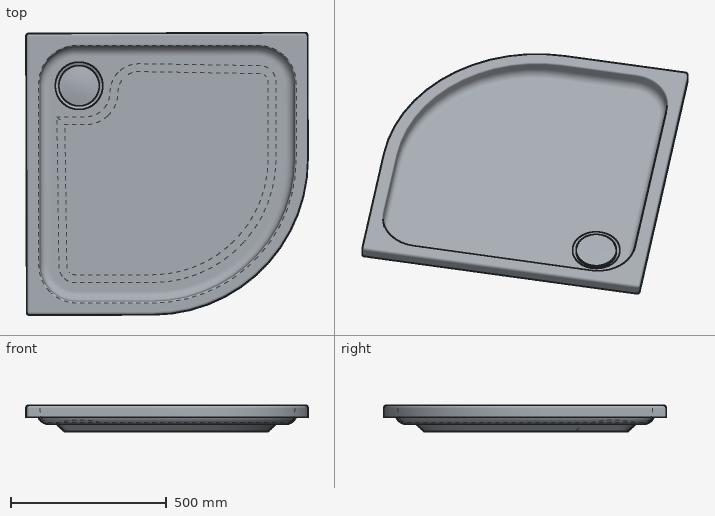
import cadquery as cq
import math


tray_height = 85.0
rim_thickness = 39.0
floor_underside = 24.0
floor_thickness = 6.0
rim_underside = tray_height - rim_thickness
floor_top = floor_underside + floor_thickness

overall_length = 907.0
rim_turn = 0.15
turn_angle = math.radians(rim_turn)
rim_side = overall_length / (math.cos(turn_angle) + math.sin(turn_angle))
rim_edge_radius = 10.0
quadrant_radius = 500.0

lip_half_width = 416.0
lip_corner_radius = 126.0
lip_radius = 6.0
wall_draft = 5.0
cove_radius = 29.0
shell_radius = 37.0
corner_centre = lip_half_width - lip_corner_radius
arc_centre = quadrant_radius - rim_side / 2
wall_half_width = lip_half_width - lip_radius
basin_depth = tray_height - floor_top
wall_run = basin_depth * math.tan(math.radians(wall_draft))

foot_half_width = 323.0
foot_corner_radius = 27.0
foot_flare = 25.0
foot_wall_lean = 6.0
notch_radius = 104.0
notch_centre = 263.0

drain_offset = 283.0
seat_diameter = 152.0
cap_diameter = 130.0
seat_depth = 5.0
cap_edge_height = 1.0
cap_apex_height = 9.0


def arc_middle(centre, radius, degrees):
    """Point on a circle at the given angle, used as an arc's middle point."""
    angle = math.radians(degrees)
    return (centre[0] + radius * math.cos(angle), centre[1] + radius * math.sin(angle))


def quadrant_outline(half_width, corner_radius, height):
    """Square of three equal rounded corners and one quadrant arc, drawn at a height."""
    half = half_width
    inner = half - corner_radius
    quadrant_centre = (-arc_centre, arc_centre)
    return (
        cq.Workplane("XY", origin=(0, 0, height))
        .moveTo(-arc_centre, -half)
        .threePointArc(arc_middle(quadrant_centre, half + arc_centre, -45), (half, arc_centre))
        .lineTo(half, inner)
        .threePointArc(arc_middle((inner, inner), corner_radius, 45), (inner, half))
        .lineTo(-inner, half)
        .threePointArc(arc_middle((-inner, inner), corner_radius, 135), (-half, inner))
        .lineTo(-half, -inner)
        .threePointArc(arc_middle((-inner, -inner), corner_radius, 225), (-inner, -half))
        .close()
    )


def basin_outline(half_width, height):
    """Outline of the basin or its shell; its corners keep the same centres at every width."""
    return quadrant_outline(half_width, half_width - corner_centre, height)


def make_rim():
    slab = quadrant_outline(rim_side / 2, rim_edge_radius, rim_underside).extrude(rim_thickness)
    slab = slab.faces(">Z").edges().fillet(rim_edge_radius)
    return slab.rotate((0, 0, 0), (0, 0, 1), rim_turn)


def make_shell():
    """Block below the rim whose rounded bottom edge follows the basin cove."""
    block = basin_outline(wall_half_width + floor_thickness, floor_underside).extrude(
        tray_height - rim_edge_radius - floor_underside
    )
    return block.faces("<Z").edges().fillet(shell_radius)


def make_basin():
    """Hollow of the basin, with drafted walls and a coved floor edge."""
    hollow = basin_outline(wall_half_width - wall_run, floor_top).extrude(basin_depth, taper=-wall_draft)
    return hollow.faces("<Z").edges().fillet(cove_radius)


def round_lip(tray):
    """Round the inner edge of the rim's top face."""
    top_face = tray.faces(">Z").val()
    lip_edges = [edge for wire in top_face.innerWires() for edge in wire.Edges()]
    return tray.newObject(lip_edges).fillet(lip_radius)


def foot_outline(growth, height):
    """Outline of the foot, grown outwards and drawn at a height; arc centres stay in place."""
    half = foot_half_width + growth
    far = half + foot_wall_lean
    radius = foot_corner_radius + growth
    inner = half - radius
    notch = notch_radius - growth
    notch_edge = notch_centre - notch
    shoulder_radius = far - notch_centre
    shoulder_x = shoulder_radius - notch_edge
    quadrant_centre = (-arc_centre, arc_centre)
    notch_corner = (-notch_centre, notch_centre)
    shoulder_centre = (shoulder_x, notch_centre)
    return (
        cq.Workplane("XY", origin=(0, 0, height))
        .moveTo(-arc_centre, -half)
        .threePointArc(arc_middle(quadrant_centre, half + arc_centre, -45), (half, arc_centre))
        .lineTo(half, inner)
        .threePointArc(arc_middle((inner, inner), radius, 45), (inner, half))
        .lineTo(shoulder_x, far)
        .threePointArc(arc_middle(shoulder_centre, shoulder_radius, 135), (-notch_edge, notch_centre))
        .threePointArc(arc_middle(notch_corner, notch, -45), (-notch_centre, notch_edge))
        .lineTo(-far, notch_edge)
        .lineTo(-half, -inner)
        .threePointArc(arc_middle((-inner, -inner), radius, 225), (-inner, -half))
        .close()
        .val()
    )


def make_foot():
    """Flared foot under the floor, cut away around the drain."""
    bottom = foot_outline(0, 0)
    top = foot_outline(foot_flare, floor_underside)
    return cq.Workplane(cq.Solid.makeLoft([bottom, top], True))


def revolve_at_drain(profile):
    """Turn a half profile, drawn as radius and height, about the drain axis."""
    turned = cq.Workplane("XZ").polyline(profile).close().revolve(360, (0, 0, 0), (0, 1, 0))
    return turned.translate((-drain_offset, drain_offset, 0))


def make_drain_hole():
    seat_bottom = floor_top - seat_depth
    return revolve_at_drain([
        (0, floor_underside),
        (cap_diameter / 2, floor_underside),
        (cap_diameter / 2, seat_bottom),
        (seat_diameter / 2, floor_top),
        (0, floor_top),
    ])


def make_tray():
    tray = round_lip(make_rim().union(make_shell()).cut(make_basin()))
    tray = tray.union(make_foot())
    return tray.cut(make_drain_hole())


def make_cap():
    """Drain cap: a disc that fills the drain hole, with a shallow dome on top."""
    radius = cap_diameter / 2
    edge = floor_top + cap_edge_height
    apex = floor_top + cap_apex_height
    dome_rise = apex - edge
    dome_radius = (radius**2 + dome_rise**2) / (2 * dome_rise)
    half_angle = math.degrees(math.asin(radius / dome_radius))
    middle = arc_middle((0, apex - dome_radius), dome_radius, 90 - half_angle / 2)
    cap = (
        cq.Workplane("XZ")
        .moveTo(0, floor_underside)
        .lineTo(radius, floor_underside)
        .lineTo(radius, edge)
        .threePointArc(middle, (0, apex))
        .close()
        .revolve(360, (0, 0, 0), (0, 1, 0))
    )
    return cap.translate((-drain_offset, drain_offset, 0))


tray = make_tray()
drain_cap = make_cap()
result = cq.Compound.makeCompound([tray.val(), drain_cap.val()])